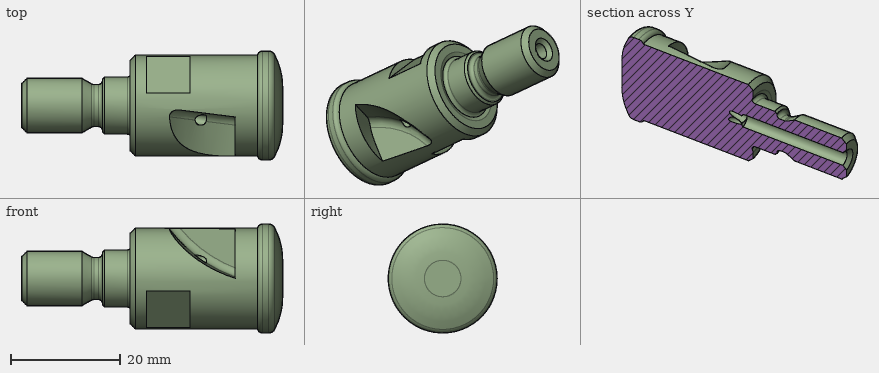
import cadquery as cq
import math

total_length = 47.8
stud_radius = 5.0
stud_chamfer = 1.0
stud_length = 11.0

neck_radius = 3.85
neck_cone_angle = math.radians(30)
neck_blend_radius = 0.85
neck_fillet = 0.7

collar_radius = 5.25
collar_start = 14.75
collar_chamfer = 0.45

undercut_start = 19.35
undercut_fillet = 0.65
undercut_outer_radius = 6.7

body_start = 19.8
body_radius = 9.25
body_chamfer = 1.05

flange_radius = 10.0
flange_round = 1.0
flange_rim_start = 44.1
flange_rim_end = 45.2
dome_start = 46.3
dome_start_radius = 9.3
end_face_radius = 3.35

flat_distance = 8.0
flat_start = 22.85
flat_length = 7.95

pocket_end = 39.05
pocket_end_angle = math.radians(22.5)
pocket_yaw = 7.2
pocket_floor_radius = 26.3
pocket_corner_radius = 1.5
pocket_center = (47.9, -3.2, 25.1)
pocket_reach = 14.35

bore_radius = 1.5
bore_mouth_radius = 2.25
bore_depth = 22.0
tip_angle = math.radians(59)
branch_radius = 1.0
branch_start = (22.0, -0.45, 0)
branch_exit = (32.98, -2.65, 3.7)


def turned_body():
    """Solid of revolution with every outer diameter."""
    blend_length = neck_blend_radius * math.sin(neck_cone_angle)
    blend_rise = neck_blend_radius * (1 - math.cos(neck_cone_angle))
    half_angle = neck_cone_angle / 2
    blend_mid_back = neck_blend_radius * math.sin(half_angle)
    blend_mid_rise = neck_blend_radius * (1 - math.cos(half_angle))
    cone_end_radius = neck_radius + blend_rise
    cone_end = stud_length + (stud_radius - cone_end_radius) / math.tan(neck_cone_angle)
    neck_start = cone_end + blend_length

    quarter_share = 1 - math.sqrt(0.5)
    fillet_start = collar_start - neck_fillet
    undercut_end = undercut_start + undercut_fillet
    undercut_floor_radius = collar_radius + undercut_fillet

    round_center_radius = flange_radius - flange_round
    start_angle = math.asin((body_radius - round_center_radius) / flange_round)
    middle_angle = (start_angle + math.pi / 2) / 2
    round_start = flange_rim_start - flange_round * math.cos(start_angle)
    round_middle = (
        flange_rim_start - flange_round * math.cos(middle_angle),
        round_center_radius + flange_round * math.sin(middle_angle),
    )

    dome_depth = total_length - dome_start
    dome_height = dome_start_radius - end_face_radius
    dome_radius = (dome_height**2 + dome_depth**2) / (2 * dome_depth)
    dome_half_angle = math.asin(dome_height / dome_radius) / 2
    dome_middle = (
        total_length - dome_radius * (1 - math.cos(dome_half_angle)),
        end_face_radius + dome_radius * math.sin(dome_half_angle),
    )

    profile = (
        cq.Workplane("XY")
        .moveTo(0, 0)
        .lineTo(0, stud_radius - stud_chamfer)
        .lineTo(stud_chamfer, stud_radius)
        .lineTo(stud_length, stud_radius)
        .lineTo(cone_end, cone_end_radius)
        .threePointArc(
            (neck_start - blend_mid_back, neck_radius + blend_mid_rise),
            (neck_start, neck_radius),
        )
        .lineTo(fillet_start, neck_radius)
        .threePointArc(
            (collar_start - neck_fillet * quarter_share, neck_radius + neck_fillet * quarter_share),
            (collar_start, neck_radius + neck_fillet),
        )
        .lineTo(collar_start, collar_radius - collar_chamfer)
        .lineTo(collar_start + collar_chamfer, collar_radius)
        .lineTo(undercut_start, collar_radius)
        .threePointArc(
            (undercut_end - undercut_fillet * quarter_share, collar_radius + undercut_fillet * quarter_share),
            (undercut_end, undercut_floor_radius),
        )
        .lineTo(body_start, undercut_outer_radius)
        .lineTo(body_start, body_radius - body_chamfer)
        .lineTo(body_start + body_chamfer, body_radius)
        .lineTo(round_start, body_radius)
        .threePointArc(round_middle, (flange_rim_start, flange_radius))
        .lineTo(flange_rim_end, flange_radius)
        .tangentArcPoint((dome_start, dome_start_radius), relative=False)
        .threePointArc(dome_middle, (total_length, end_face_radius))
        .lineTo(total_length, 0)
        .close()
    )
    return profile.revolve(360, (0, 0, 0), (1, 0, 0))


def half_turn(shape):
    """Copy on the opposite side of the X axis."""
    return shape.rotate((0, 0, 0), (1, 0, 0), 180)


def wrench_flat():
    """Block that leaves one flat facing halfway between +Y and +Z."""
    block = cq.Workplane("XY").box(
        flat_length, 2 * body_radius, body_radius, centered=(False, True, False)
    )
    return block.translate((flat_start, 0, flat_distance)).rotate((0, 0, 0), (1, 0, 0), -45)


def chip_pocket():
    """Round-cornered milling disc, turned slightly about Z ended by an undercut conical wall."""
    disc = (
        cq.Workplane("XZ")
        .circle(pocket_floor_radius)
        .extrude(pocket_reach)
        .faces(">Y")
        .edges()
        .fillet(pocket_corner_radius)
        .rotate((0, 0, 0), (0, 0, 1), -pocket_yaw)
        .translate(pocket_center)
    )
    cone_tip = pocket_end + body_radius * math.tan(pocket_end_angle)
    limit_radius = 2 * body_radius
    limit = (
        cq.Workplane("XY")
        .polyline(
            [
                (0, 0),
                (cone_tip, 0),
                (pocket_end, body_radius),
                (pocket_end, limit_radius),
                (0, limit_radius),
            ]
        )
        .close()
        .revolve(360, (0, 0, 0), (1, 0, 0))
    )
    return disc.intersect(limit)


def coolant_bore():
    """Blind axial bore with a 45 degree countersink and a drill point."""
    countersink_depth = bore_mouth_radius - bore_radius
    tip = bore_depth + bore_radius / math.tan(tip_angle)
    return (
        cq.Workplane("XY")
        .polyline(
            [
                (0, 0),
                (0, bore_mouth_radius),
                (countersink_depth, bore_radius),
                (bore_depth, bore_radius),
                (tip, 0),
            ]
        )
        .close()
        .revolve(360, (0, 0, 0), (1, 0, 0))
    )


def coolant_branch():
    """Slanted hole from the bore's end to the pocket floor."""
    start = cq.Vector(*branch_start)
    run = cq.Vector(*branch_exit) - start
    overrun = branch_radius
    return cq.Workplane(cq.Solid.makeCylinder(branch_radius, run.Length + overrun, start, run))


result = turned_body().cut(coolant_bore())
for cutter in (wrench_flat(), chip_pocket(), coolant_branch()):
    result = result.cut(cutter).cut(half_turn(cutter))